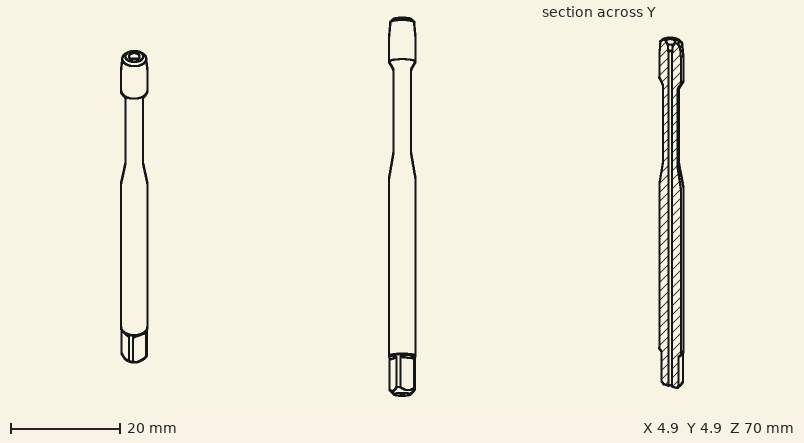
import cadquery as cq
import math

length = 70.0
shank_radius = 4.9 / 2
neck_radius = 3.3 / 2

nose_radius = 3.3 / 2
nose_shoulder_radius = 4.4 / 2
nose_shoulder_z = length - 0.55
head_top_z = 66.7
head_bottom_z = 62.1
back_cone_angle = math.radians(30)
neck_blend_radius = 1.0

neck_bottom_z = 45.0
shank_top_z = 40.3

square_width = 3.85
square_corner_radius = 4.75 / 2
square_top_z = 6.5
corner_top_z = 7.0
shank_bottom_z = 7.15
end_radius = 1.5
end_chamfer_angle = math.radians(45)

bore_radius = 0.7 / 2
pilot_radius = 1.0 / 2
pilot_depth = 2.1
mouth_radius = 1.95 / 2
mouth_angle = math.radians(30)


def make_body():
    """Revolve the round profile from the square end up to the nose."""
    blend_drop = neck_blend_radius * (1 - math.cos(back_cone_angle))
    cone_end_radius = neck_radius + blend_drop
    cone_height = (shank_radius - cone_end_radius) / math.tan(back_cone_angle)
    cone_end_z = head_bottom_z - cone_height
    blend_end_z = cone_end_z - neck_blend_radius * math.sin(back_cone_angle)
    half_angle = back_cone_angle / 2
    blend_mid = (
        neck_radius + neck_blend_radius * (1 - math.cos(half_angle)),
        blend_end_z + neck_blend_radius * math.sin(half_angle),
    )
    chamfer_height = (square_corner_radius - end_radius) / math.tan(end_chamfer_angle)
    return (
        cq.Workplane("XZ")
        .moveTo(0, 0)
        .lineTo(end_radius, 0)
        .lineTo(square_corner_radius, chamfer_height)
        .lineTo(square_corner_radius, corner_top_z)
        .lineTo(shank_radius, shank_bottom_z)
        .lineTo(shank_radius, shank_top_z)
        .lineTo(neck_radius, neck_bottom_z)
        .lineTo(neck_radius, blend_end_z)
        .threePointArc(blend_mid, (cone_end_radius, cone_end_z))
        .lineTo(shank_radius, head_bottom_z)
        .lineTo(shank_radius, head_top_z)
        .lineTo(nose_shoulder_radius, nose_shoulder_z)
        .lineTo(nose_radius, length)
        .lineTo(0, length)
        .close()
        .revolve(360, (0, 0, 0), (0, 1, 0))
    )


def make_square_envelope():
    """Square prism for the drive, flaring out to clear the round shank."""
    flare_width = 2 * shank_radius
    flare_height = (flare_width - square_width) / 2
    flare_top_z = square_top_z + flare_height
    square = cq.Workplane("XY").rect(square_width, square_width).extrude(square_top_z)
    flare = (
        cq.Workplane("XY", origin=(0, 0, square_top_z))
        .rect(square_width, square_width)
        .workplane(offset=flare_height)
        .rect(flare_width, flare_width)
        .loft(ruled=True)
    )
    upper = (
        cq.Workplane("XY", origin=(0, 0, flare_top_z))
        .rect(flare_width, flare_width)
        .extrude(length - flare_top_z)
    )
    return square.union(flare).union(upper)


def make_bore():
    """Stepped coolant bore with a conical mouth at the nose."""
    mouth_depth = (mouth_radius - pilot_radius) / math.tan(mouth_angle)
    return (
        cq.Workplane("XZ")
        .moveTo(0, 0)
        .lineTo(bore_radius, 0)
        .lineTo(bore_radius, length - pilot_depth)
        .lineTo(pilot_radius, length - pilot_depth)
        .lineTo(pilot_radius, length - mouth_depth)
        .lineTo(mouth_radius, length)
        .lineTo(0, length)
        .close()
        .revolve(360, (0, 0, 0), (0, 1, 0))
    )


result = make_body().intersect(make_square_envelope()).cut(make_bore())